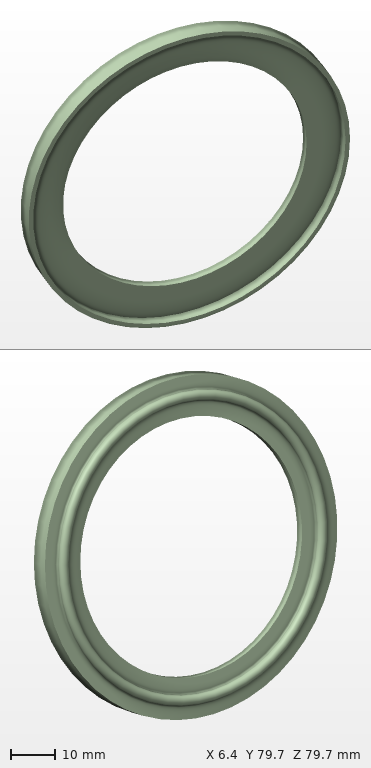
import cadquery as cq
import math

outer_diameter = 79.7
bore_diameter = 60.4
bead_outer_diameter = 72.9
bead_inner_diameter = 68.1
total_width = 6.4
plate_thickness = 4.55
web_thickness = 2.0
recess_diameter = 77.5
root_radius = 0.44

outer_radius = outer_diameter / 2
bore_radius = bore_diameter / 2
recess_radius = recess_diameter / 2
bead_outer_radius = bead_outer_diameter / 2
bead_inner_radius = bead_inner_diameter / 2
bead_mid_radius = (bead_outer_radius + bead_inner_radius) / 2

crown_radius = (bead_outer_radius - bead_inner_radius) / 2
bead_tip_x = 0.0
plate_face_x = total_width - plate_thickness
flank_x = bead_tip_x + crown_radius
root_start_x = plate_face_x - root_radius
root_mid_offset = root_radius * (1 - math.sqrt(0.5))
root_mid_x = plate_face_x - root_mid_offset

web_back_x = plate_face_x + web_thickness

section = (
    cq.Workplane("XY")
    .moveTo(web_back_x, bore_radius)
    .lineTo(web_back_x, recess_radius)
    .lineTo(total_width, recess_radius)
    .lineTo(total_width, outer_radius)
    .lineTo(plate_face_x, outer_radius)
    .lineTo(plate_face_x, bead_outer_radius + root_radius)
    .threePointArc(
        (root_mid_x, bead_outer_radius + root_mid_offset),
        (root_start_x, bead_outer_radius),
    )
    .lineTo(flank_x, bead_outer_radius)
    .threePointArc((bead_tip_x, bead_mid_radius), (flank_x, bead_inner_radius))
    .lineTo(root_start_x, bead_inner_radius)
    .threePointArc(
        (root_mid_x, bead_inner_radius - root_mid_offset),
        (plate_face_x, bead_inner_radius - root_radius),
    )
    .lineTo(plate_face_x, bore_radius)
    .close()
)

result = section.revolve(360, (0, 0, 0), (1, 0, 0))